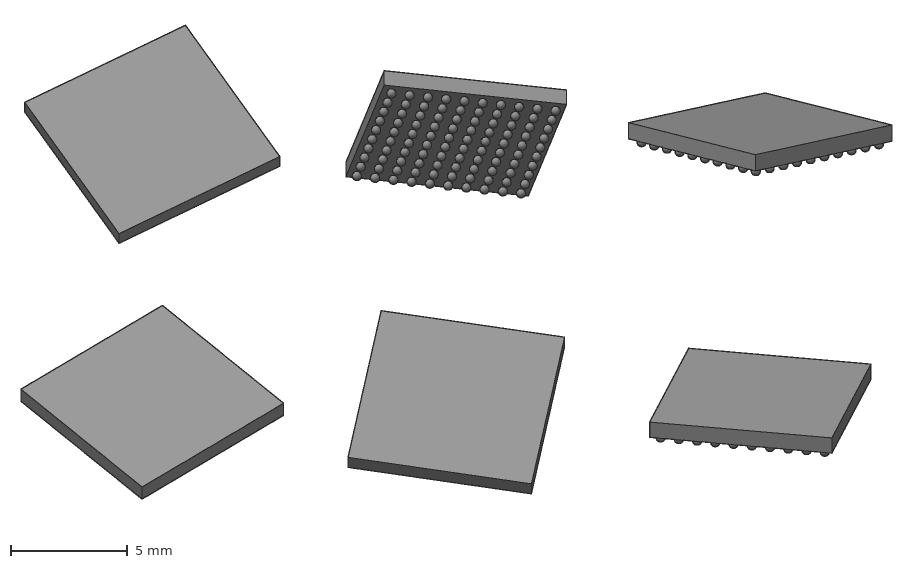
import cadquery as cq

body_side = 8.0
total_height = 1.06
ball_drop = 0.34
body_height = total_height - ball_drop

balls_per_side = 10
ball_pitch = body_side / balls_per_side
ball_radius = 0.2
ball_center_z = ball_radius - ball_drop

body = cq.Workplane("XY").box(body_side, body_side, body_height, centered=(True, True, False))

balls = (
    cq.Workplane("XY", origin=(0, 0, ball_center_z))
    .rarray(ball_pitch, ball_pitch, balls_per_side, balls_per_side)
    .sphere(ball_radius, combine=False)
)

result = body.union(balls)